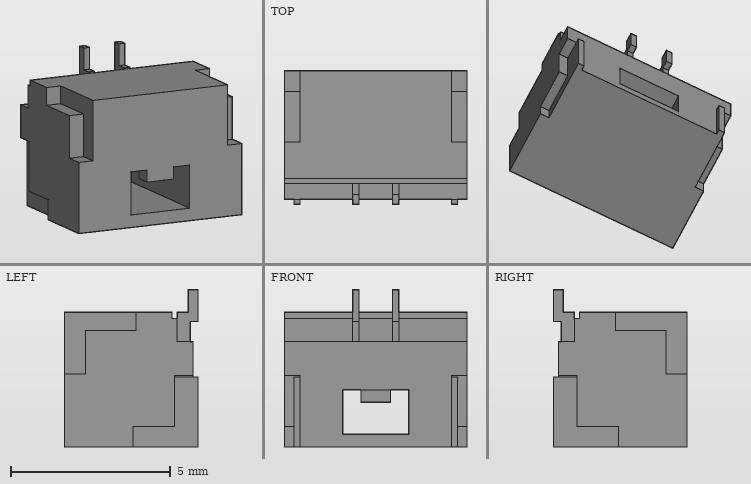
import cadquery as cq

width = 5.75
back_y = 4.2
front_y = 0.155
body_top = 4.25

shelf_z = 3.32
shelf_back_y = 0.655
lip_z = 4.055
lip_back_y = 0.81

recess_depth = 0.5
front_recess_top = 2.255
front_recess_back_y = 0.74
foot_recess_top = 0.65
foot_recess_back_y = 2.045
rear_recess_front_y = 1.955
rear_recess_floor = 3.675
rear_notch_front_y = 3.54
rear_notch_floor = 2.3

plate_thickness = 0.2
plate_top = 2.21

window_width = 2.065
window_bottom = 0.41
window_top = 1.8
key_width = 0.94
key_bottom = 1.41
key_length = 0.575

pin_width = 0.2
pin_pitch = 1.25
pin_top = 4.95
pin_root_front_y = 0.24
pin_tip_back_y = 0.31
pin_tip_bottom = 3.945


def side_profile(points, x_start, thickness):
    """Extrude a (Y, Z) outline along +X from x_start."""
    outline = cq.Workplane("YZ").workplane(offset=x_start).polyline(points).close()
    return outline.extrude(thickness)


def both_sides(solid):
    """Return the solid together with its mirror image across X = 0."""
    return solid.union(solid.mirror("YZ"))


def front_l_outline(outer_y, upright_top):
    """Outline of an upright along the front with a foot along the base."""
    return [
        (outer_y, 0),
        (foot_recess_back_y, 0),
        (foot_recess_back_y, foot_recess_top),
        (front_recess_back_y, foot_recess_top),
        (front_recess_back_y, upright_top),
        (outer_y, upright_top),
    ]


def make_housing():
    outline = [
        (front_y, 0),
        (back_y, 0),
        (back_y, body_top),
        (lip_back_y, body_top),
        (lip_back_y, lip_z),
        (shelf_back_y, lip_z),
        (shelf_back_y, shelf_z),
        (front_y, shelf_z),
    ]
    return side_profile(outline, -width / 2, width)


def make_recesses():
    front = side_profile(front_l_outline(front_y, front_recess_top), -width / 2, recess_depth)
    rear_outline = [
        (rear_recess_front_y, body_top),
        (rear_recess_front_y, rear_recess_floor),
        (rear_notch_front_y, rear_recess_floor),
        (rear_notch_front_y, rear_notch_floor),
        (back_y, rear_notch_floor),
        (back_y, body_top),
    ]
    rear = side_profile(rear_outline, -width / 2, recess_depth)
    return both_sides(front).union(both_sides(rear))


def make_plates():
    plate_x = -width / 2 + recess_depth - plate_thickness
    return both_sides(side_profile(front_l_outline(0, plate_top), plate_x, plate_thickness))


def make_window():
    height = window_top - window_bottom
    opening = cq.Workplane("XY").box(window_width, back_y, height, centered=(True, False, False))
    opening = opening.translate((0, 0, window_bottom))
    key_height = window_top - key_bottom
    key = cq.Workplane("XY").box(key_width, key_length, key_height, centered=(True, False, False))
    return opening.cut(key.translate((0, back_y - key_length, key_bottom)))


def make_pins():
    outline = [
        (shelf_back_y, shelf_z),
        (pin_root_front_y, shelf_z),
        (pin_root_front_y, pin_tip_bottom),
        (0, pin_tip_bottom),
        (0, pin_top),
        (pin_tip_back_y, pin_top),
        (pin_tip_back_y, body_top),
        (shelf_back_y, body_top),
    ]
    return both_sides(side_profile(outline, -(pin_pitch + pin_width) / 2, pin_width))


result = (
    make_housing()
    .cut(make_recesses())
    .cut(make_window())
    .union(make_plates())
    .union(make_pins())
)